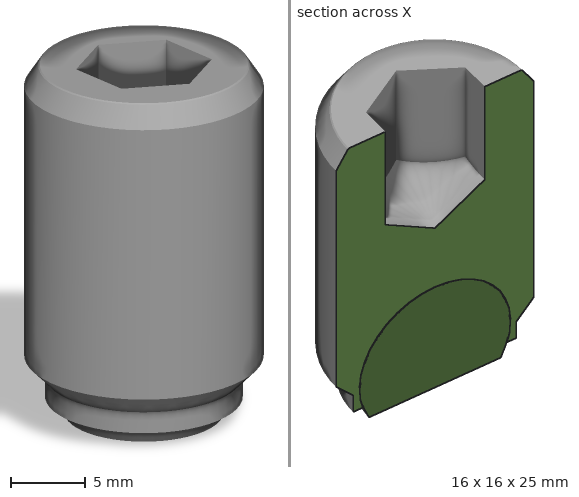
import cadquery as cq
import math

screw_radius = 8.0
top_z = 25.0
top_chamfer_height = 1.52
top_face_radius = 6.95
rim_radius = 7.05
rim_height = 0.08

collar_radius = 6.6
collar_bottom_z = 1.12
collar_top_z = 2.62
shoulder_top_z = 4.1

hex_across_flats = 8.0
hex_depth = 8.0
drill_point_angle = 120.0

ball_radius = 6.08
ball_center_z = 2.92

hex_corner_radius = hex_across_flats / math.sqrt(3)
hex_floor_z = top_z - hex_depth
drill_point_depth = hex_corner_radius / math.tan(math.radians(drill_point_angle / 2))


def make_sphere():
    """Full sphere shared by the ball and its seat."""
    return cq.Workplane("XY").sphere(ball_radius).translate((0, 0, ball_center_z))


def make_hex_socket():
    """Hexagonal prism ending in the part of a drill point that lies inside the hexagon."""
    prism = (
        cq.Workplane("XY")
        .workplane(offset=hex_floor_z - drill_point_depth)
        .polygon(6, 2 * hex_corner_radius)
        .extrude(hex_depth + drill_point_depth)
    )
    drill_profile = (
        cq.Workplane("XZ")
        .moveTo(0, hex_floor_z - drill_point_depth)
        .lineTo(hex_corner_radius, hex_floor_z)
        .lineTo(hex_corner_radius, top_z)
        .lineTo(0, top_z)
        .close()
    )
    drill = drill_profile.revolve(360, (0, 0, 0), (0, 1, 0))
    return prism.intersect(drill)


def make_screw():
    """Turned shank with collar, hexagon socket and spherical ball seat."""
    blank = (
        cq.Workplane("XZ")
        .moveTo(0, collar_bottom_z)
        .lineTo(collar_radius, collar_bottom_z)
        .lineTo(collar_radius, collar_top_z)
        .lineTo(screw_radius, shoulder_top_z)
        .lineTo(screw_radius, top_z - top_chamfer_height)
        .lineTo(rim_radius, top_z - rim_height)
        .lineTo(top_face_radius, top_z)
        .lineTo(0, top_z)
        .close()
        .revolve(360, (0, 0, 0), (0, 1, 0))
    )
    return blank.cut(make_hex_socket()).cut(make_sphere())


def make_ball():
    """Sphere with everything below the contact face at z = 0 removed."""
    upper_space = cq.Workplane("XY").circle(screw_radius).extrude(top_z)
    return make_sphere().intersect(upper_space)


screw = make_screw()
ball = make_ball()

result = cq.Compound.makeCompound([screw.val(), ball.val()])